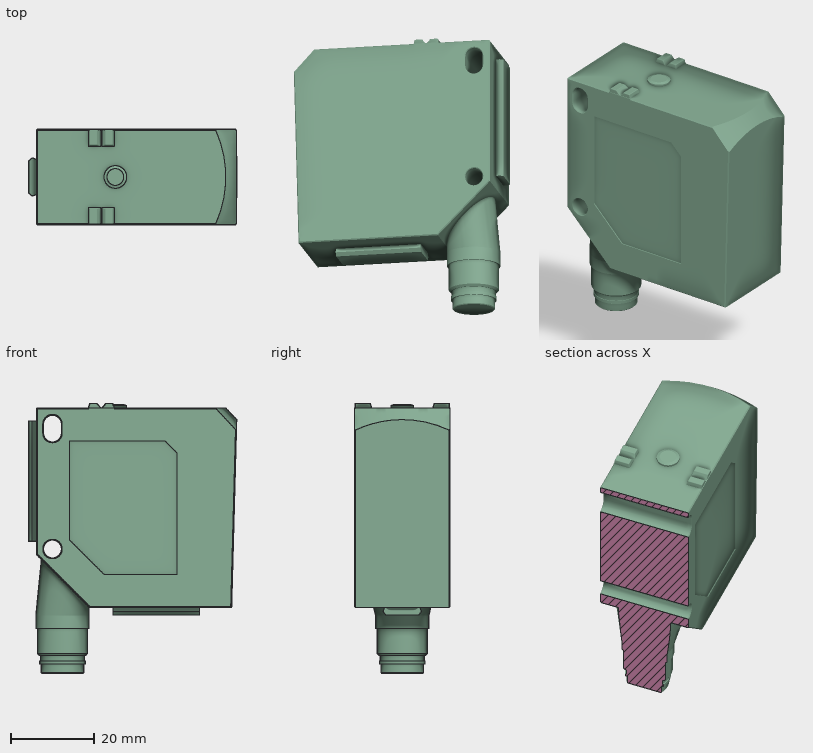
import cadquery as cq

width = 23.0
height = 48.05
length_bottom = 47.0
length_top = 48.3
corner_cut = 12.8
edge_chamfer = 0.25

bevel_mid_x = 45.6
bevel_side_x = 43.05
bevel_slope = 1.07
bevel_run = 13.0

hole_x = 3.9
hole_diameter = 4.3
hole_edge_chamfer = 0.2
lower_hole_z = 14.1
slot_z = 43.05
slot_length = 6.4

label_left, label_right = 8.05, 33.9
label_bottom, label_top = 7.9, 40.1
label_large_cut = 8.3
label_small_cut = 2.9
label_depth = 0.25

rail_height = 1.8
rail_peak_height = 1.0
rail_foot_half = 4.3
rail_peak_half = 4.6
rail_crown_half = 3.9
back_rail_bottom, back_rail_top = 15.9, 44.95
bottom_rail_start, bottom_rail_end = 18.45, 39.3

lens_height = 1.05
lens_pair_x = 15.65
lens_foot_near, lens_foot_far = 0.1, 3.1
lens_crown_near, lens_crown_far = 1.05, 2.8
lens_side_gap = 0.1
lens_foot_width = 4.0
lens_end_slope = 0.3
lens_round = 0.2

button_x = 19.0
button_radius = 2.7
button_rim_height = 0.5
button_crown_radius = 2.0
button_height = 0.8

connector_x = 6.3
socket_radius = 8.1
socket_x = 6.95
collar_radius = 6.4
collar_top, collar_bottom = -1.95, -5.05
barrel_radius = 6.05
barrel_bottom = -11.55
barrel_chamfer = 0.5
neck_radius = 5.3
ring_radius = 5.5
ring_top, ring_bottom = -12.8, -13.6
tip_radius = 5.1
tip_chamfer = 0.2
tip_bottom = -15.85


def make_housing():
    outline = [
        (corner_cut, 0),
        (length_bottom, 0),
        (length_top, height),
        (0, height),
        (0, corner_cut),
    ]
    block = cq.Workplane("XZ").polyline(outline).close().extrude(width / 2, both=True)
    block = block.edges("((<Y or >Y) exc >X) or (<X and >Z)").chamfer(edge_chamfer)
    return block.cut(make_bevel_cutter())


def make_bevel_cutter():
    """Corner stock left outside an oblique cylinder that leans forward as it descends."""
    sag = bevel_mid_x - bevel_side_x
    radius = ((width / 2) ** 2 + sag ** 2) / (2 * sag)
    drop = bevel_run * bevel_slope
    keep = (
        cq.Workplane("XY", origin=(bevel_mid_x - radius, 0, height))
        .circle(radius)
        .workplane(offset=-drop)
        .center(bevel_run, 0)
        .circle(radius)
        .loft(ruled=True)
    )
    stock = cq.Workplane("XY", origin=(bevel_mid_x, 0, height)).box(
        2 * bevel_run, 2 * width, drop, centered=(True, True, False)
    ).translate((0, 0, -drop))
    return stock.cut(keep)


def cut_holes(body):
    """Round hole and slot through the width, with a small chamfer at both mouths."""
    lower_hole = cq.Workplane("XZ", origin=(hole_x, 0, lower_hole_z)).circle(hole_diameter / 2)
    slot = cq.Workplane("XZ", origin=(hole_x, 0, slot_z)).slot2D(slot_length, hole_diameter, 90)
    for profile in (lower_hole, slot):
        body = body.cut(profile.extrude(width, both=True))
    return body.faces("<Y or >Y").edges("%CIRCLE").chamfer(hole_edge_chamfer)


def make_label_recess():
    outline = [
        (label_left, label_top),
        (label_right - label_small_cut, label_top),
        (label_right, label_top - label_small_cut),
        (label_right, label_bottom),
        (label_left + label_large_cut, label_bottom),
        (label_left, label_bottom + label_large_cut),
    ]
    return cq.Workplane("XZ", origin=(0, -width / 2, 0)).polyline(outline).close().extrude(-label_depth)


def make_rail(plane, length):
    """Rail whose section spans local X, rises along local Y and runs along the plane normal."""
    right_side = [
        (rail_foot_half, 0),
        (rail_peak_half, rail_peak_height),
        (rail_crown_half, rail_height),
    ]
    left_side = [(-x, y) for x, y in reversed(right_side)]
    return cq.Workplane(plane).polyline(right_side + left_side).close().extrude(length)


def make_rails():
    back_plane = cq.Plane(origin=(0, 0, back_rail_bottom), xDir=(0, 1, 0), normal=(0, 0, 1))
    bottom_plane = cq.Plane(origin=(bottom_rail_start, 0, 0), xDir=(0, -1, 0), normal=(1, 0, 0))
    back = make_rail(back_plane, back_rail_top - back_rail_bottom)
    bottom = make_rail(bottom_plane, bottom_rail_end - bottom_rail_start)
    return back.union(bottom)


def make_lenses():
    """Four tapered lenses, each pair on a step that fills the housing chamfer below it."""
    foot_outer = width / 2 - lens_side_gap
    foot_inner = foot_outer - lens_foot_width
    crown_inner = foot_inner + lens_end_slope
    foot_center = ((lens_foot_near + lens_foot_far) / 2, (foot_inner + foot_outer) / 2)
    crown_center = ((lens_crown_near + lens_crown_far) / 2, (crown_inner + foot_outer) / 2)
    lens = (
        cq.Workplane("XY")
        .center(*foot_center)
        .rect(lens_foot_far - lens_foot_near, lens_foot_width)
        .workplane(offset=lens_height)
        .center(crown_center[0] - foot_center[0], crown_center[1] - foot_center[1])
        .rect(lens_crown_far - lens_crown_near, foot_outer - crown_inner)
        .loft(ruled=True)
    )
    lens = lens.edges("not <Z").fillet(lens_round)
    step_width = lens_foot_width + lens_side_gap
    step = (
        cq.Workplane("XY")
        .center(lens_foot_far / 2, foot_inner + step_width / 2)
        .rect(lens_foot_far, step_width)
        .extrude(-edge_chamfer)
    )
    lens = lens.union(step)
    pair = lens.union(lens.mirror("YZ"))
    return pair.union(pair.mirror("XZ")).translate((lens_pair_x, 0, height))


def revolve_about_z(half_section, axis_x, base_z):
    return (
        cq.Workplane("XZ", origin=(axis_x, 0, base_z))
        .polyline(half_section)
        .close()
        .revolve(360, (0, 0, 0), (0, 1, 0))
    )


def make_button():
    half_section = [
        (0, 0),
        (button_radius, 0),
        (button_radius, button_rim_height),
        (button_crown_radius, button_height),
        (0, button_height),
    ]
    return revolve_about_z(half_section, button_x, height)


def make_connector():
    half_section = [
        (0, collar_top),
        (collar_radius, collar_top),
        (collar_radius, collar_bottom),
        (barrel_radius, collar_bottom),
        (barrel_radius, barrel_bottom + barrel_chamfer),
        (barrel_radius - barrel_chamfer, barrel_bottom),
        (neck_radius, barrel_bottom),
        (neck_radius, ring_top),
        (ring_radius, ring_top),
        (ring_radius, ring_bottom),
        (tip_radius, ring_bottom),
        (tip_radius, tip_bottom + tip_chamfer),
        (tip_radius - tip_chamfer, tip_bottom),
        (0, tip_bottom),
    ]
    return revolve_about_z(half_section, connector_x, 0).union(make_connector_shroud())


def make_connector_shroud():
    """Transition from the round collar to a larger circle lying on the corner cut."""
    collar_plane = cq.Plane(origin=(connector_x, 0, collar_top), xDir=(1, 0, 0), normal=(0, 0, 1))
    socket_plane = cq.Plane(
        origin=(socket_x, 0, corner_cut - socket_x), xDir=(1, 0, -1), normal=(1, 0, 1)
    )
    collar = cq.Workplane(collar_plane).circle(collar_radius).val()
    socket = cq.Workplane(socket_plane).circle(socket_radius).val()
    return cq.Workplane(cq.Solid.makeLoft([collar, socket], True))


housing = cut_holes(make_housing()).cut(make_label_recess())
result = housing.union(make_rails()).union(make_lenses()).union(make_button()).union(make_connector())